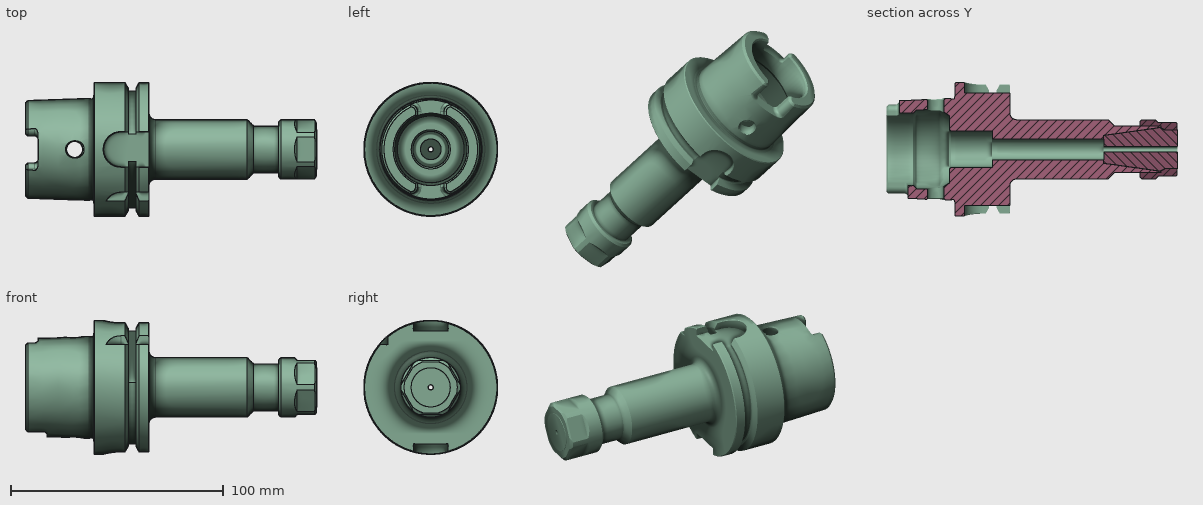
import cadquery as cq
import math


shank_end = -32.0
flange_face = 0.0
flange_length = 26.0
flange_end = flange_face + flange_length
body_end = 72.1
nut_start = 86.8
nut_end = 104.6
collet_end = 104.8

taper_start_dia = 46.0
taper_end_dia = 48.0
taper_end = -2.2
rim_chamfer = 1.0
relief_dia = 47.6
relief_start = -1.4
relief_fillet = 0.5
relief_rim_dia = 50.8
relief_rim_depth = 0.2

flange_dia = 63.0
flange_chamfer = 0.4
groove_dia = 55.0
groove_shoulder_dia = 57.6
groove_mouth = (14.6, 21.3)
groove_floor = (16.2, 19.8)

body_dia = 28.1
neck_dia = 22.0
body_fillet = 3.0
neck_chamfer = (body_dia - neck_dia) / 2

bore_dia = 34.0
bore_edge_chamfer = 0.7
bore_depth = 12.6
clamp_dia = 37.0
clamp_cone_length = (clamp_dia - bore_dia) / 2
bore_floor = -2.5
bore_floor_dia = 31.4
floor_cone_start = -7.0
thread_mouth_dia = 18.4
thread_dia = 16.92
thread_chamfer = (thread_mouth_dia - thread_dia) / 2
thread_depth = 20.0
passage_dia = 9.73

drive_slot_half_width = 6.27
drive_slot_rounding = 3.0
drive_slot_flat_height = 20.9
drive_slot_floor_fillet = 1.6
upper_slot_depth = 5.8
lower_slot_depth = 10.0

access_hole_dia = 7.5
access_hole_x = -9.0
access_countersink_dia = 8.9

keyway_radius = 8.15
keyway_centre_x = 12.8
keyway_floor_height = 26.5
keyway_edge_chamfer = 0.25
notch_inset = 20.1
notch_radius = 8.0
flat_low = (-27.4, 2.3)
flat_high = (-5.6, keyway_floor_height)

nose_end = 97.0
seat_mouth_dia = 20.5
collet_back_dia = 12.9
collet_front_dia = 18.4
collet_bore_dia = 2.29
collet_half_angle = 8.0
collet_shoulder_angle = 30.0
seat_length = (seat_mouth_dia - collet_back_dia) / 2 / math.tan(math.radians(collet_half_angle))
collet_back = nose_end - seat_length
collet_shoulder_length = (
    (seat_mouth_dia - collet_front_dia) / 2 / math.tan(math.radians(collet_shoulder_angle))
)
collet_shoulder_end = nose_end + collet_shoulder_length

nut_dia = 28.0
nut_back_chamfer = 1.1
nut_front_chamfer_width = 1.5
nut_front_chamfer_length = 1.0
nut_flats = 6
nut_across_flats = 25.4
nut_flat_start = 95.6
nut_flat_chamfer = 0.7

clearance = 5.0


def turned(points):
    """Closed (x, radius) outline revolved about the X axis."""
    return cq.Workplane("XY").polyline(points).close().revolve(360, (0, 0, 0), (1, 0, 0))


def holder_outside():
    flange_r = flange_dia / 2
    groove_r = groove_dia / 2
    relief_r = relief_dia / 2
    relief_rim_x = flange_face - relief_rim_depth
    body_r = body_dia / 2
    neck_r = neck_dia / 2
    quarter = math.sin(math.radians(45))
    outline = (
        cq.Workplane("XY")
        .moveTo(shank_end, 0)
        .lineTo(shank_end, taper_start_dia / 2 - rim_chamfer)
        .lineTo(shank_end + rim_chamfer, taper_start_dia / 2)
        .lineTo(taper_end, taper_end_dia / 2)
        .lineTo(relief_start, relief_r)
        .lineTo(relief_rim_x - relief_fillet, relief_r)
        .threePointArc(
            (
                relief_rim_x - relief_fillet * (1 - quarter),
                relief_r + relief_fillet * (1 - quarter),
            ),
            (relief_rim_x, relief_r + relief_fillet),
        )
        .lineTo(flange_face, relief_rim_dia / 2)
        .lineTo(flange_face, flange_r - flange_chamfer)
        .lineTo(flange_face + flange_chamfer, flange_r)
        .lineTo(groove_mouth[0], flange_r)
        .lineTo(groove_floor[0], groove_shoulder_dia / 2)
        .lineTo(groove_floor[0], groove_r)
        .lineTo(groove_floor[1], groove_r)
        .lineTo(groove_floor[1], groove_shoulder_dia / 2)
        .lineTo(groove_mouth[1], flange_r)
        .lineTo(flange_end - flange_chamfer, flange_r)
        .lineTo(flange_end, flange_r - flange_chamfer)
        .lineTo(flange_end, body_r + body_fillet)
        .threePointArc(
            (
                flange_end + body_fillet * (1 - quarter),
                body_r + body_fillet * (1 - quarter),
            ),
            (flange_end + body_fillet, body_r),
        )
        .lineTo(body_end, body_r)
        .lineTo(body_end + neck_chamfer, neck_r)
        .lineTo(nose_end, neck_r)
        .lineTo(nose_end, 0)
        .close()
    )
    return outline.revolve(360, (0, 0, 0), (1, 0, 0))


def holder_bore():
    """Shank bore, clamping recess, coolant thread, passage and collet seat."""
    clamp_r = clamp_dia / 2
    thread_r = thread_dia / 2
    passage_r = passage_dia / 2
    recess_start = shank_end + bore_depth
    outline = (
        cq.Workplane("XY")
        .moveTo(shank_end, 0)
        .lineTo(shank_end, bore_dia / 2 + bore_edge_chamfer)
        .lineTo(shank_end + bore_edge_chamfer, bore_dia / 2)
        .lineTo(recess_start, bore_dia / 2)
        .lineTo(recess_start + clamp_cone_length, clamp_r)
        .lineTo(floor_cone_start, clamp_r)
        .lineTo(bore_floor, bore_floor_dia / 2)
        .lineTo(bore_floor, thread_mouth_dia / 2)
        .lineTo(bore_floor + thread_chamfer, thread_r)
        .lineTo(bore_floor + thread_depth, thread_r)
        .lineTo(bore_floor + thread_depth, passage_r)
        .lineTo(collet_back, passage_r)
        .lineTo(collet_back, collet_back_dia / 2)
        .lineTo(nose_end, seat_mouth_dia / 2)
        .lineTo(nose_end, 0)
        .close()
    )
    return outline.revolve(360, (0, 0, 0), (1, 0, 0))


def drive_slot_outline(x):
    """Slot section at X = x on the +Z side: parallel walls that flare out over rounded lips."""
    half = drive_slot_half_width
    lip = drive_slot_rounding
    flat = drive_slot_flat_height
    wide = half + lip + clearance
    top = taper_end_dia / 2 + clearance
    return (
        cq.Workplane("YZ", origin=(x, 0, 0))
        .moveTo(-half, 0)
        .lineTo(-half, flat - lip)
        .radiusArc((-half - lip, flat), -lip)
        .lineTo(-wide, flat)
        .lineTo(-wide, top)
        .lineTo(wide, top)
        .lineTo(wide, flat)
        .lineTo(half + lip, flat)
        .radiusArc((half, flat - lip), -lip)
        .lineTo(half, 0)
        .close()
    )


def drive_slot(depth):
    """Cutter with a filleted floor and a 45 degree chamfer at its mouth."""
    floor = shank_end + depth
    cutter = drive_slot_outline(floor).extrude(-depth)
    cutter = cutter.faces(">X").edges().fillet(drive_slot_floor_fillet)
    mouth = drive_slot_outline(shank_end + rim_chamfer).extrude(-rim_chamfer, taper=-45)
    return cutter.union(mouth)


def access_hole():
    """Hole through both shank walls, countersunk on the outside."""
    x_middle = access_hole_x
    outside = taper_start_dia / 2 + (taper_end_dia - taper_start_dia) / 2 * (
        (x_middle - shank_end) / (taper_end - shank_end)
    )
    countersink = (access_countersink_dia - access_hole_dia) / 2
    hole = (
        cq.Workplane("XY", origin=(x_middle, 0, -flange_dia / 2))
        .circle(access_hole_dia / 2)
        .extrude(flange_dia)
    )
    cone = cq.Solid.makeCone(
        access_hole_dia / 2,
        access_countersink_dia / 2,
        countersink,
        pnt=cq.Vector(x_middle, 0, outside - countersink),
    )
    return hole.union(cq.Workplane(cone)).union(cq.Workplane(cone).mirror("XY"))


def round_ended_slot(radius, centre_x, centre_y, floor_height):
    """Slot cut from above, with a round end at -X and open through the flange at +X."""
    height = flange_dia / 2
    length = flange_end + flange_chamfer - centre_x
    straight = (
        cq.Workplane("XY", origin=(centre_x + length / 2, centre_y, floor_height))
        .rect(length, 2 * radius)
        .extrude(height)
    )
    round_end = (
        cq.Workplane("XY", origin=(centre_x, centre_y, floor_height))
        .circle(radius)
        .extrude(height)
    )
    return straight.union(round_end)


def orientation_flat():
    """Flat across the floor of the gripper groove, on the -Y +Z side."""
    outside = flange_dia / 2
    return (
        cq.Workplane("YZ", origin=(groove_floor[0], 0, 0))
        .polyline([
            flat_low,
            flat_high,
            (flat_high[0], outside),
            (-outside, outside),
            (-outside, flat_low[1]),
        ])
        .close()
        .extrude(groove_floor[1] - groove_floor[0])
    )


def chamfer_keyway_edges(body):
    """Break the edges where the keyway walls meet the round rim of the flange."""
    reach = keyway_radius + keyway_edge_chamfer
    edge_height = math.sqrt((flange_dia / 2) ** 2 - keyway_radius**2)
    for side in (1, -1):
        low_corner = (flange_face, -reach, side * (edge_height - keyway_edge_chamfer))
        high_corner = (flange_end, reach, side * flange_dia / 2)
        edges = body.edges(cq.selectors.BoxSelector(low_corner, high_corner))
        body = edges.chamfer(keyway_edge_chamfer)
    return body


def make_holder():
    body = holder_outside().cut(holder_bore())
    upper_slot = drive_slot(upper_slot_depth)
    lower_slot = drive_slot(lower_slot_depth).mirror("XY")
    body = body.cut(upper_slot).cut(lower_slot)
    body = body.cut(access_hole())

    keyway = round_ended_slot(keyway_radius, keyway_centre_x, 0, keyway_floor_height)
    notch = round_ended_slot(
        notch_radius, keyway_centre_x, -notch_inset - notch_radius, notch_inset
    )
    body = body.cut(keyway).cut(keyway.mirror("XY"))
    body = chamfer_keyway_edges(body)
    body = body.cut(notch)
    return body.cut(orientation_flat())


def make_collet():
    collet_r = collet_front_dia / 2
    bore_r = collet_bore_dia / 2
    return turned([
        (collet_back, bore_r),
        (collet_back, collet_back_dia / 2),
        (nose_end, seat_mouth_dia / 2),
        (collet_shoulder_end, collet_r),
        (collet_end, collet_r),
        (collet_end, bore_r),
    ])


def make_nut():
    nut_r = nut_dia / 2
    neck_r = neck_dia / 2
    collet_r = collet_front_dia / 2
    nut = turned([
        (nut_start, neck_r),
        (nut_start, nut_r - nut_back_chamfer),
        (nut_start + nut_back_chamfer, nut_r),
        (nut_end - nut_front_chamfer_length, nut_r),
        (nut_end, nut_r - nut_front_chamfer_width),
        (nut_end, collet_r),
        (collet_shoulder_end, collet_r),
        (nose_end, seat_mouth_dia / 2),
        (nose_end, neck_r),
    ])

    flat_height = nut_across_flats / 2
    flat_cut = (
        cq.Workplane("XZ", origin=(0, nut_r, 0))
        .polyline([
            (nut_flat_start, flat_height),
            (nut_flat_start - clearance, flat_height + clearance),
            (nut_end + clearance, flat_height + clearance),
            (nut_end + clearance, flat_height - nut_flat_chamfer),
            (nut_end, flat_height - nut_flat_chamfer),
            (nut_end - nut_flat_chamfer, flat_height),
        ])
        .close()
        .extrude(nut_dia)
    )
    for i in range(nut_flats):
        nut = nut.cut(flat_cut.rotate((0, 0, 0), (1, 0, 0), i * 360 / nut_flats))
    return nut


holder = make_holder()
collet = make_collet()
nut = make_nut()
result = cq.Compound.makeCompound([holder.val(), collet.val(), nut.val()])